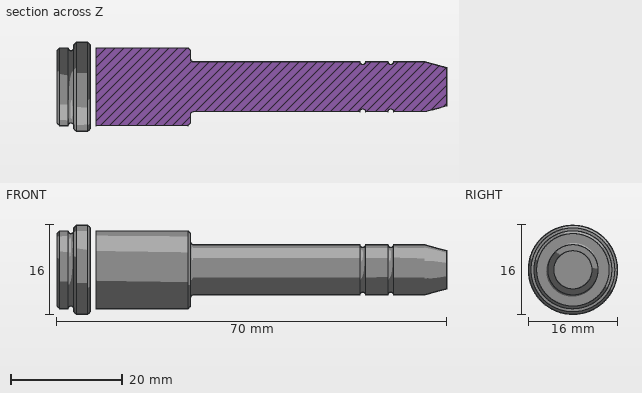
import cadquery as cq

total_length = 70.0
flange_diameter = 16.0
body_diameter = 14.0
pin_diameter = 9.0

flange_start = 3.0
flange_width = 3.0
shoulder_position = 24.0
ring_groove_starts = (54.4, 59.4)

edge_break = 0.5
pin_root_fillet = 0.5
groove_radius = 0.5
tip_length = 4.0
tip_diameter = 6.85

flange_end = flange_start + flange_width
body_radius = body_diameter / 2
pin_radius = pin_diameter / 2


def cylinder(start, end, diameter):
    """Solid cylinder along X between two positions."""
    return cq.Workplane("YZ", origin=(start, 0, 0)).circle(diameter / 2).extrude(end - start)


def round_groove(start, surface_radius):
    """Ring cutter with a round section centred on the surface of a shaft."""
    return (
        cq.Workplane("XY")
        .center(start + groove_radius, surface_radius)
        .circle(groove_radius)
        .revolve(360, (0, -surface_radius, 0), (1, -surface_radius, 0))
    )


body = cylinder(0, shoulder_position, body_diameter).faces("<X or >X").chamfer(edge_break)

tip_start = total_length - tip_length
pin = cylinder(shoulder_position, tip_start, pin_diameter)
tip = (
    cq.Workplane("YZ", origin=(tip_start, 0, 0))
    .circle(pin_radius)
    .workplane(offset=tip_length)
    .circle(tip_diameter / 2)
    .loft()
)
result = body.union(pin).union(tip)

root_selector = cq.selectors.BoxSelector(
    (shoulder_position - edge_break / 2, -body_radius, -body_radius),
    (shoulder_position + edge_break / 2, body_radius, body_radius),
    boundingbox=True,
)
pin_root_edge = result.edges(root_selector).edges(cq.selectors.RadiusNthSelector(0))
result = pin_root_edge.fillet(pin_root_fillet)

for groove_start in (flange_start - 2 * groove_radius, flange_end):
    result = result.cut(round_groove(groove_start, body_radius))

flange = cylinder(flange_start, flange_end, flange_diameter).faces("<X or >X").chamfer(edge_break)
result = result.union(flange)

for groove_start in ring_groove_starts:
    result = result.cut(round_groove(groove_start, pin_radius))